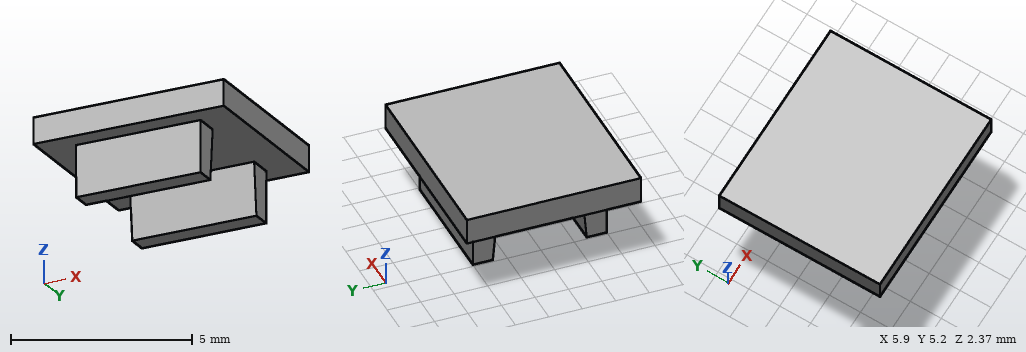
import cadquery as cq
import math

plate_length = 5.9
plate_width = 5.2
plate_thickness = 0.8

total_height = 2.37
leg_length = 3.85
leg_outer_span = 4.0
leg_tip_thickness = 0.6
leg_draft_angle = 5.0

leg_height = total_height - plate_thickness
leg_root_thickness = leg_tip_thickness + leg_height * math.tan(math.radians(leg_draft_angle))


def make_plate():
    """Rectangular plate standing on Z = 0."""
    return cq.Workplane("XY").box(
        plate_length, plate_width, plate_thickness, centered=(True, True, False)
    )


def make_leg(side):
    """Leg hanging below Z = 0 on the +Y (side = 1) or -Y (side = -1) half."""
    outer_y = leg_outer_span / 2
    profile = [
        (side * outer_y, 0),
        (side * outer_y, -leg_height),
        (side * (outer_y - leg_tip_thickness), -leg_height),
        (side * (outer_y - leg_root_thickness), 0),
    ]
    return cq.Workplane("YZ").polyline(profile).close().extrude(leg_length / 2, both=True)


result = make_plate()
for side in (-1, 1):
    result = result.union(make_leg(side))